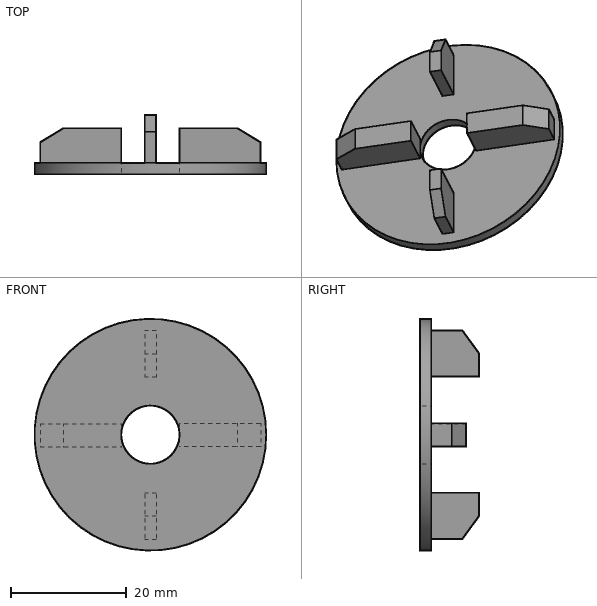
import cadquery as cq

plate_diameter = 40.0
plate_thickness = 2.0
bore_diameter = 10.0

side_tab_inner = 5.0
side_tab_outer = 19.0
side_tab_height = 6.0
side_tab_width = 4.0
side_tab_chamfer_run = 4.0
side_tab_chamfer_drop = 2.45
left_tab_offset = 0.08

end_tab_inner = 10.0
end_tab_outer = 18.0
end_tab_height = 8.25
end_tab_width = 2.0
end_tab_chamfer_run = 4.0
end_tab_chamfer_drop = 2.905


def make_plate():
    """Disc with a central through bore; its back face is at Y = plate_thickness."""
    return (
        cq.Workplane("XZ")
        .circle(plate_diameter / 2)
        .circle(bore_diameter / 2)
        .extrude(-plate_thickness)
    )


def make_tab(inner, outer, height, width, chamfer_run, chamfer_drop):
    """Tab along +X, standing on the back of the plate, with its outer top corner cut off."""
    tip = plate_thickness + height
    profile = [
        (inner, 0),
        (outer, 0),
        (outer, tip - chamfer_drop),
        (outer - chamfer_run, tip),
        (inner, tip),
    ]
    return cq.Workplane("XY").polyline(profile).close().extrude(width / 2, both=True)


def turn_about_axis(tab, angle):
    """Turn a tab about the plate axis."""
    return tab.rotate((0, 0, 0), (0, 1, 0), angle)


side_tab = make_tab(
    side_tab_inner,
    side_tab_outer,
    side_tab_height,
    side_tab_width,
    side_tab_chamfer_run,
    side_tab_chamfer_drop,
)
end_tab = make_tab(
    end_tab_inner,
    end_tab_outer,
    end_tab_height,
    end_tab_width,
    end_tab_chamfer_run,
    end_tab_chamfer_drop,
)

left_tab = turn_about_axis(side_tab, 180).translate((0, 0, -left_tab_offset))

result = (
    make_plate()
    .union(side_tab)
    .union(left_tab)
    .union(turn_about_axis(end_tab, 90))
    .union(turn_about_axis(end_tab, -90))
)